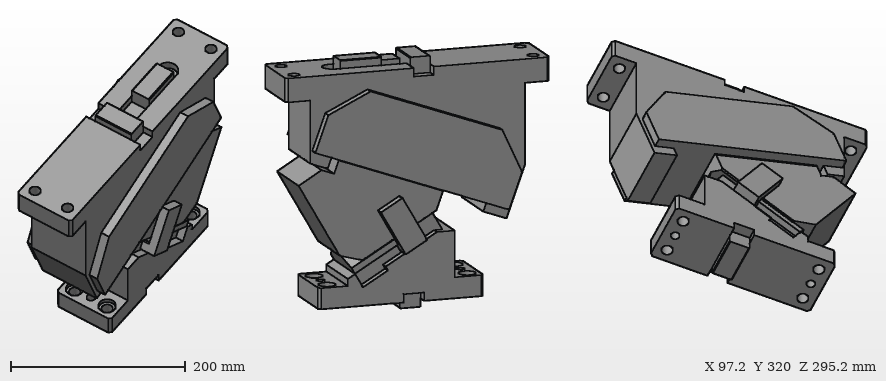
import cadquery as cq
import math


UNIT_LENGTH = 320.0
BODY_WIDTH = 75.2
SIDE_PLATE_WIDTH = 11.0
HALF_WIDTH = BODY_WIDTH / 2
CORNER_CHAMFER = 3.2
BOLT_DIAMETER = 13.0
BOLT_SPACING = 45.0
BOLT_END_DISTANCE = 15.0
UNIT_HEIGHT = 275.2

KEY_LENGTH = 50.0
KEY_DEPTH = 10.0
KEY_PROJECTION = 10.0
KEY_CHAMFER = 1.0

HOLDER_KEY_WIDTH = 24.3
HOLDER_FLANGE_THICKNESS = 28.0
HOLDER_HALF_BODY = 130.2
CROSS_KEY_Y = -7.5
LONG_KEY_Y = 60.0
LONG_SLOT_ARC_Y = 90.2

SLIDE_ANGLE = math.radians(20)
SLIDE_Y = 128.0
SLIDE_Z = 187.5
PLATE_LENGTH = 250.0
PLATE_HEIGHT = 86.0
PLATE_CHAMFER = 40.0
UPPER_LEG_INNER = 25.3
UPPER_LEG_DROP = 14.7
LOWER_LEG_INNER = 225.0
LOWER_LEG_OUTER = 255.0
LOWER_LEG_DROP = 12.0

DRIVER_ANGLE = math.radians(30)
DRIVER_Y = 76.0
DRIVER_Z = 38.5
DRIVER_LENGTH = 115.2
STEM_WIDTH = 55.7
FLANGE_WIDTH = 72.5
FLANGE_LENGTH = 84.8
FLANGE_THICKNESS = 8.0
ROOF_ANGLE = math.radians(30)

SLIDER_UPPER_END = 35.0
SLIDER_LOWER_END = 169.5
SLIDER_SHOULDER_START = 18.5
SLIDER_SHOULDER_DROP = 18.2
SLIDER_BACK = -4.8
SLIDER_BACK_BOTTOM = 29.5
SLIDER_BACK_TOP = 129.0
SLIDER_TOE = 15.5
SLIDER_CLEARANCE = 1.0
RAIL_HEIGHT = 2.0
RAIL_INSET = 1.0

HOOK_START = 60.0
HOOK_LENGTH = 30.0
HOOK_TOP = 49.3
HOOK_BOTTOM = -10.5
HOOK_LIP_REACH = 8.5

BASE_FRONT = -80.0
BASE_BACK = 120.0
BASE_PLATE_THICKNESS = 25.0
COLUMN_FRONT = -44.8
COLUMN_BACK = 84.8
COLUMN_TOP = 80.0
HOOK_POCKET_LENGTH = 35.0
HOOK_POCKET_DEPTH = 19.0
SHOULDER_DEPTH = 13.5
BASE_KEY_WIDTH = 25.0
BASE_KEY_Y = 4.8
COUNTERBORE_DIAMETER = 20.0
COUNTERBORE_DEPTH = 5.0
DOWEL_DIAMETER = 10.0

HOOK_END = HOOK_START + HOOK_LENGTH
SLIDER_BOTTOM = FLANGE_THICKNESS + SLIDER_CLEARANCE
ROOF_HEIGHT = FLANGE_WIDTH / 2 * math.tan(ROOF_ANGLE)


def slide_point(along, above):
    """(y, z) at a distance down the slideway and a height square to it."""
    y = SLIDE_Y - along * math.cos(SLIDE_ANGLE) - above * math.sin(SLIDE_ANGLE)
    z = SLIDE_Z - along * math.sin(SLIDE_ANGLE) + above * math.cos(SLIDE_ANGLE)
    return y, z


def driver_point(along, above):
    """(y, z) at a distance up the driver slope and a height square to it."""
    y = DRIVER_Y - along * math.cos(DRIVER_ANGLE) + above * math.sin(DRIVER_ANGLE)
    z = DRIVER_Z + along * math.sin(DRIVER_ANGLE) + above * math.cos(DRIVER_ANGLE)
    return y, z


def slide_height_at(along, y):
    """Height square to the slideway at which the given distance down it reaches y."""
    return (SLIDE_Y - along * math.cos(SLIDE_ANGLE) - y) / math.sin(SLIDE_ANGLE)


def prism(points, x_start, x_end):
    """Solid with a (y, z) outline between two x positions."""
    outline = cq.Workplane("YZ").workplane(offset=x_start).polyline(points).close()
    return outline.extrude(x_end - x_start)


def centred_prism(points, width):
    return prism(points, -width / 2, width / 2)


def box(x_size, y_range, z_range):
    """Box centred on X between the given y and z limits."""
    y_size = y_range[1] - y_range[0]
    z_size = z_range[1] - z_range[0]
    solid = cq.Workplane("XY").box(x_size, y_size, z_size)
    return solid.translate((0, sum(y_range) / 2, sum(z_range) / 2))


def driver_block(start, end, bottom, top, x_start, x_end):
    """Block lying along the driver slope."""
    corners = [(start, bottom), (end, bottom), (end, top), (start, top)]
    return prism([driver_point(*corner) for corner in corners], x_start, x_end)


def driver_roof(start, end):
    """Ridge on top of the driver's flange, running along the slope."""
    foot_y, foot_z = driver_point(start, FLANGE_THICKNESS)
    direction = cq.Vector(0, -math.cos(DRIVER_ANGLE), math.sin(DRIVER_ANGLE))
    plane = cq.Plane(origin=(0, foot_y, foot_z), xDir=(1, 0, 0), normal=direction)
    half = FLANGE_WIDTH / 2
    return (
        cq.Workplane(plane)
        .polyline([(-half, 0), (half, 0), (0, ROOF_HEIGHT)])
        .close()
        .extrude(end - start)
    )


def bolt_points(y_positions):
    return [(side * BOLT_SPACING / 2, y) for side in (-1, 1) for y in y_positions]


def holder_profile():
    flange_z = UNIT_HEIGHT - HOLDER_FLANGE_THICKNESS
    half_length = UNIT_LENGTH / 2
    back_corner = (
        SLIDE_Y - HOLDER_HALF_BODY + UPPER_LEG_DROP * math.sin(SLIDE_ANGLE)
    ) / math.cos(SLIDE_ANGLE)
    front_corner = slide_height_at(LOWER_LEG_OUTER, -HOLDER_HALF_BODY)
    return [
        (half_length, UNIT_HEIGHT),
        (half_length, flange_z),
        (HOLDER_HALF_BODY, flange_z),
        slide_point(back_corner, -UPPER_LEG_DROP),
        slide_point(UPPER_LEG_INNER, -UPPER_LEG_DROP),
        slide_point(UPPER_LEG_INNER, 0),
        slide_point(LOWER_LEG_INNER, 0),
        slide_point(LOWER_LEG_INNER, -LOWER_LEG_DROP),
        slide_point(LOWER_LEG_OUTER, -LOWER_LEG_DROP),
        slide_point(LOWER_LEG_OUTER, front_corner),
        (-HOLDER_HALF_BODY, flange_z),
        (-half_length, flange_z),
        (-half_length, UNIT_HEIGHT),
    ]


def side_plates():
    low_side = PLATE_HEIGHT - PLATE_CHAMFER
    outline = [
        (0, 0),
        (PLATE_LENGTH, 0),
        (PLATE_LENGTH, low_side),
        (PLATE_LENGTH - PLATE_CHAMFER, PLATE_HEIGHT),
        (PLATE_CHAMFER, PLATE_HEIGHT),
        (0, low_side),
    ]
    points = [slide_point(*point) for point in outline]
    left = prism(points, -HALF_WIDTH - SIDE_PLATE_WIDTH, -HALF_WIDTH)
    return left, left.mirror("YZ")


def holder_key_slots():
    slot_floor = UNIT_HEIGHT - KEY_DEPTH
    half_key = HOLDER_KEY_WIDTH / 2
    slot_z = (slot_floor, UNIT_HEIGHT)
    cross = box(BODY_WIDTH, (CROSS_KEY_Y - half_key, CROSS_KEY_Y + half_key), slot_z)
    long = box(HOLDER_KEY_WIDTH, (CROSS_KEY_Y, LONG_SLOT_ARC_Y), slot_z)
    end = (
        cq.Workplane("XY")
        .workplane(offset=slot_floor)
        .center(0, LONG_SLOT_ARC_Y)
        .circle(half_key)
        .extrude(KEY_DEPTH)
    )
    return cross.union(long).union(end)


def holder_keys():
    key_z = (UNIT_HEIGHT - KEY_DEPTH, UNIT_HEIGHT + KEY_PROJECTION)
    half_key = HOLDER_KEY_WIDTH / 2
    half_length = KEY_LENGTH / 2
    cross = box(KEY_LENGTH, (CROSS_KEY_Y - half_key, CROSS_KEY_Y + half_key), key_z)
    cross = cross.edges("|X and >Z").chamfer(KEY_CHAMFER)
    long = box(HOLDER_KEY_WIDTH, (LONG_KEY_Y - half_length, LONG_KEY_Y + half_length), key_z)
    long = long.edges("|Y and >Z").chamfer(KEY_CHAMFER)
    return cross, long


def make_holder():
    holder = centred_prism(holder_profile(), BODY_WIDTH)
    holder = holder.edges("|Z and (>Y or <Y)").chamfer(CORNER_CHAMFER)
    holder = holder.cut(holder_key_slots())
    bolt_y = UNIT_LENGTH / 2 - BOLT_END_DISTANCE
    bolts = (
        cq.Workplane("XY")
        .workplane(offset=UNIT_HEIGHT)
        .pushPoints(bolt_points((-bolt_y, bolt_y)))
        .circle(BOLT_DIAMETER / 2)
        .extrude(-HOLDER_FLANGE_THICKNESS)
    )
    holder = holder.cut(bolts)
    for part in (*side_plates(), *holder_keys()):
        holder = holder.union(part)
    return holder


def slider_profile():
    end_y, end_z = slide_point(SLIDER_LOWER_END, 0)
    end_height = (end_y - DRIVER_Y) * math.sin(DRIVER_ANGLE) + (end_z - DRIVER_Z) * math.cos(DRIVER_ANGLE)
    end_drop = (end_height - SLIDER_BOTTOM) / math.cos(SLIDE_ANGLE + DRIVER_ANGLE)
    return [
        slide_point(SLIDER_UPPER_END, 0),
        slide_point(SLIDER_LOWER_END, 0),
        slide_point(SLIDER_LOWER_END, -end_drop),
        driver_point(SLIDER_TOE, SLIDER_BOTTOM),
        driver_point(SLIDER_BACK, SLIDER_BACK_BOTTOM),
        driver_point(SLIDER_BACK, SLIDER_BACK_TOP),
        slide_point(SLIDER_SHOULDER_START, -SLIDER_SHOULDER_DROP),
        slide_point(SLIDER_UPPER_END, -SLIDER_SHOULDER_DROP),
    ]


def rail_step():
    """Strip taken off one upper side edge of the slider, which leaves a narrower rail."""
    corners = [
        (SLIDER_UPPER_END, -RAIL_HEIGHT),
        (SLIDER_LOWER_END, -RAIL_HEIGHT),
        (SLIDER_LOWER_END, 0),
        (SLIDER_UPPER_END, 0),
    ]
    points = [slide_point(*corner) for corner in corners]
    return prism(points, -HALF_WIDTH, -HALF_WIDTH + RAIL_INSET)


def return_hook():
    """Bar on one side of the slider, with a lip that reaches in below the driver's flange."""
    outer = -HALF_WIDTH - SIDE_PLATE_WIDTH
    bar = driver_block(HOOK_START, HOOK_END, HOOK_BOTTOM, HOOK_TOP, outer, -HALF_WIDTH)
    lip = driver_block(HOOK_START, HOOK_END, HOOK_BOTTOM, 0, outer, -HALF_WIDTH + HOOK_LIP_REACH)
    return bar.union(lip)


def make_slider():
    slider = centred_prism(slider_profile(), BODY_WIDTH)
    slider = slider.cut(driver_roof(SLIDER_BACK, DRIVER_LENGTH + SLIDER_TOE))
    step = rail_step()
    slider = slider.cut(step).cut(step.mirror("YZ"))
    hook = return_hook()
    return slider.union(hook).union(hook.mirror("YZ"))


def base_profile():
    slope = math.tan(DRIVER_ANGLE)
    shoulder_rise = COLUMN_TOP - DRIVER_Z + SHOULDER_DEPTH * math.cos(DRIVER_ANGLE)
    shoulder_end = shoulder_rise / math.sin(DRIVER_ANGLE)
    return [
        (BASE_BACK, 0),
        (BASE_BACK, BASE_PLATE_THICKNESS),
        (COLUMN_BACK, BASE_PLATE_THICKNESS),
        (COLUMN_BACK, DRIVER_Z - (COLUMN_BACK - DRIVER_Y) * slope),
        (DRIVER_Y, DRIVER_Z),
        driver_point(0, -HOOK_POCKET_DEPTH),
        driver_point(HOOK_POCKET_LENGTH, -HOOK_POCKET_DEPTH),
        driver_point(HOOK_POCKET_LENGTH, -SHOULDER_DEPTH),
        driver_point(shoulder_end, -SHOULDER_DEPTH),
        (COLUMN_FRONT, COLUMN_TOP),
        (COLUMN_FRONT, BASE_PLATE_THICKNESS),
        (BASE_FRONT, BASE_PLATE_THICKNESS),
        (BASE_FRONT, 0),
    ]


def driver_ridge(half_stem, half_flange):
    """Ridge trimmed to what stands on the stem and on the flange."""
    bottom = FLANGE_THICKNESS
    top = FLANGE_THICKNESS + ROOF_HEIGHT
    above_stem = driver_block(0, DRIVER_LENGTH, bottom, top, -half_stem, half_stem)
    above_flange = driver_block(0, FLANGE_LENGTH, bottom, top, -half_flange, half_flange)
    return driver_roof(0, DRIVER_LENGTH).intersect(above_stem.union(above_flange))


def driver():
    """T-section driver: a stem, a flange for the hooks and a ridge that guides the slider."""
    half_stem = STEM_WIDTH / 2
    half_flange = FLANGE_WIDTH / 2
    stem = driver_block(0, DRIVER_LENGTH, -HOOK_POCKET_DEPTH, FLANGE_THICKNESS, -half_stem, half_stem)
    flange = driver_block(0, FLANGE_LENGTH, 0, FLANGE_THICKNESS, -half_flange, half_flange)
    return stem.union(flange).union(driver_ridge(half_stem, half_flange))


def base_holes():
    bolt_y = (BASE_FRONT + BOLT_END_DISTANCE, BASE_BACK - BOLT_END_DISTANCE)
    top = cq.Workplane("XY").workplane(offset=BASE_PLATE_THICKNESS)
    bolts = top.pushPoints(bolt_points(bolt_y)).circle(BOLT_DIAMETER / 2).extrude(-BASE_PLATE_THICKNESS)
    heads = top.pushPoints(bolt_points(bolt_y)).circle(COUNTERBORE_DIAMETER / 2).extrude(-COUNTERBORE_DEPTH)
    dowels = (
        top.pushPoints([(0, y) for y in bolt_y]).circle(DOWEL_DIAMETER / 2).extrude(-BASE_PLATE_THICKNESS)
    )
    return bolts.union(heads).union(dowels)


def make_base():
    base = centred_prism(base_profile(), BODY_WIDTH)
    base = base.edges("|Z and (>Y or <Y)").chamfer(CORNER_CHAMFER)
    base = base.union(driver()).cut(base_holes())
    key_y = (BASE_KEY_Y - BASE_KEY_WIDTH / 2, BASE_KEY_Y + BASE_KEY_WIDTH / 2)
    slot = box(BODY_WIDTH, key_y, (0, KEY_DEPTH))
    key = box(KEY_LENGTH, key_y, (-KEY_PROJECTION, KEY_DEPTH))
    key = key.edges("|X and <Z").chamfer(KEY_CHAMFER)
    return base.cut(slot).union(key)


holder = make_holder()
slider = make_slider()
base = make_base()

result = cq.Compound.makeCompound([body.solids().val() for body in (holder, slider, base)])